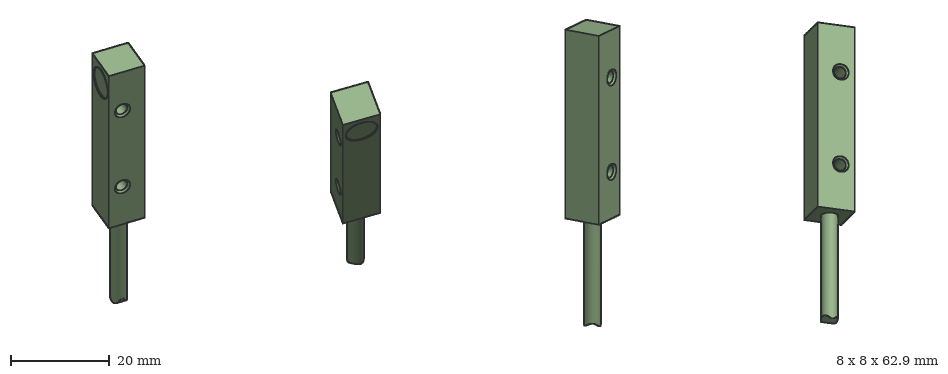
import cadquery as cq
import math

body_side = 8.0
body_height = 40.0

cable_diameter = 3.5
cable_length = 22.92
cable_radius = cable_diameter / 2

crest_x = -0.8
crest_rise = 0.77
trough_x = 0.8
trough_rise = 0.1
right_edge_rise = 1.5

hole_diameter = 2.5
countersink_diameter = 3.4
hole_y = -0.95
first_hole_below_top = 10.1
hole_pitch = 20.0

sensor_rim_diameter = 6.8
sensor_floor_diameter = 6.5
sensor_recess_depth = 0.2
sensor_below_top = 4.8


def make_housing():
    return cq.Workplane("XY").box(body_side, body_side, body_height, centered=(True, True, False))


def make_cable():
    """Round cable whose free end is cut by a wave that runs straight along Y."""
    cable_end = -cable_length
    cable = cq.Workplane("XY").circle(cable_radius).extrude(cable_end)
    wave = [
        (crest_x, cable_end + crest_rise),
        (trough_x, cable_end + trough_rise),
        (cable_radius, cable_end + right_edge_rise),
    ]
    keep = (
        cq.Workplane("XZ")
        .moveTo(-cable_radius, cable_end)
        .spline(wave, includeCurrent=True)
        .lineTo(cable_radius, 0)
        .lineTo(-cable_radius, 0)
        .close()
        .extrude(cable_radius, both=True)
    )
    return cable.intersect(keep)


def make_mounting_hole(depth_below_top):
    """Through hole along X with a 45 degree countersink at both ends."""
    half_length = body_side / 2
    hole_radius = hole_diameter / 2
    countersink_radius = countersink_diameter / 2
    countersink_depth = countersink_radius - hole_radius
    half_profile = [
        (-half_length, 0),
        (-half_length, countersink_radius),
        (-half_length + countersink_depth, hole_radius),
        (half_length - countersink_depth, hole_radius),
        (half_length, countersink_radius),
        (half_length, 0),
    ]
    hole = cq.Workplane("XY").polyline(half_profile).close().revolve(360, (0, 0, 0), (1, 0, 0))
    return hole.translate((0, hole_y, body_height - depth_below_top))


def make_sensor_recess():
    """Shallow conical recess that narrows from its rim to a flat floor."""
    rim_inset = (sensor_rim_diameter - sensor_floor_diameter) / 2
    wall_taper = math.degrees(math.atan2(rim_inset, sensor_recess_depth))
    front_face = cq.Workplane("XZ", origin=(0, -body_side / 2, body_height - sensor_below_top))
    return front_face.circle(sensor_rim_diameter / 2).extrude(-sensor_recess_depth, taper=wall_taper)


result = make_housing().union(make_cable()).cut(make_sensor_recess())
for depth in (first_hole_below_top, first_hole_below_top + hole_pitch):
    result = result.cut(make_mounting_hole(depth))